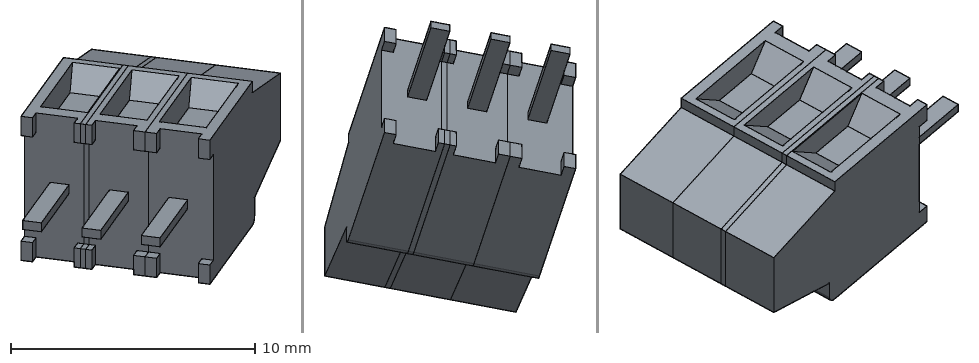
import cadquery as cq


TOTAL_LENGTH = 13.4
TOTAL_WIDTH = 8.08
TOTAL_HEIGHT = 6.5

PIN_COUNT = 3
PIN_EDGE_DISTANCE = 1.5
PITCH = (TOTAL_WIDTH - 2 * PIN_EDGE_DISTANCE) / (PIN_COUNT - 1)
MODULE_WIDTH = (TOTAL_WIDTH - PITCH) / 2
SPACER_START = PITCH
SPACER_END = MODULE_WIDTH
LAST_MODULE_START = TOTAL_WIDTH - MODULE_WIDTH

PIN_LENGTH = 3.9
FOOT_LENGTH = 0.5
FOOT_HEIGHT = 0.87
FOOT_WIDTH = 0.5
REAR_FACE_Y = PIN_LENGTH
FOOT_TIP_Y = REAR_FACE_Y - FOOT_LENGTH
TOP_STEP_Y = 9.42
TOP_STEP_Z = 5.99
BOTTOM_STEP_Y = 9.75
BOTTOM_STEP_Z = 1.11
NOSE_BOTTOM_Z = 2.08
NOSE_TOP_Z = 5.12
BOTTOM_CORNER_RADIUS = 0.3

FUNNEL_WIDTH = 2.01
FUNNEL_START_Y = 4.54
FUNNEL_END_Y = 9.07
FUNNEL_DEPTH = 0.8
FUNNEL_FLOOR_WIDTH = 1.5
FUNNEL_FLOOR_START_Y = 5.78
FUNNEL_FLOOR_END_Y = 7.87

PIN_WIDTH = 0.8
PIN_THICKNESS = 0.4


def box(x_start, x_end, y_start, y_end, z_start, z_end):
    """Box between two opposite corners."""
    size = (x_end - x_start, y_end - y_start, z_end - z_start)
    return cq.Workplane("XY").box(*size, centered=False).translate((x_start, y_start, z_start))


def profile_slab(x_start, x_end):
    """Slice of the block's side profile, including the top and bottom rails that form the feet."""
    outline = [
        (FOOT_TIP_Y, 0),
        (BOTTOM_STEP_Y, 0),
        (BOTTOM_STEP_Y, BOTTOM_STEP_Z),
        (TOTAL_LENGTH, NOSE_BOTTOM_Z),
        (TOTAL_LENGTH, NOSE_TOP_Z),
        (TOP_STEP_Y, TOP_STEP_Z),
        (TOP_STEP_Y, TOTAL_HEIGHT),
        (FOOT_TIP_Y, TOTAL_HEIGHT),
        (FOOT_TIP_Y, TOTAL_HEIGHT - FOOT_HEIGHT),
        (REAR_FACE_Y, TOTAL_HEIGHT - FOOT_HEIGHT),
        (REAR_FACE_Y, FOOT_HEIGHT),
        (FOOT_TIP_Y, FOOT_HEIGHT),
    ]
    slab = cq.Workplane("YZ").workplane(offset=x_start).polyline(outline).close().extrude(x_end - x_start)
    lower_corner = cq.selectors.NearestToPointSelector(((x_start + x_end) / 2, BOTTOM_STEP_Y, 0))
    return slab.edges(lower_corner).fillet(BOTTOM_CORNER_RADIUS)


def funnel_cutter(center_x):
    """Pocket tapering from its mouth in the top face down to a smaller flat floor."""
    mouth_length = FUNNEL_END_Y - FUNNEL_START_Y
    mouth_center_y = (FUNNEL_START_Y + FUNNEL_END_Y) / 2
    floor_length = FUNNEL_FLOOR_END_Y - FUNNEL_FLOOR_START_Y
    floor_center_y = (FUNNEL_FLOOR_START_Y + FUNNEL_FLOOR_END_Y) / 2
    return (
        cq.Workplane("XY", origin=(center_x, mouth_center_y, TOTAL_HEIGHT))
        .rect(FUNNEL_WIDTH, mouth_length)
        .workplane(offset=-FUNNEL_DEPTH)
        .center(0, floor_center_y - mouth_center_y)
        .rect(FUNNEL_FLOOR_WIDTH, floor_length)
        .loft()
    )


def make_housing(x_start, x_end, feet_gap_start, feet_gap_end, pin_x):
    """Housing module with corner feet and a funnel; the rails are cut away between the feet."""
    feet_gap = box(feet_gap_start, feet_gap_end, FOOT_TIP_Y, REAR_FACE_Y, 0, TOTAL_HEIGHT)
    return profile_slab(x_start, x_end).cut(feet_gap).cut(funnel_cutter(pin_x))


def make_spacer():
    """Thin full-profile plate between the first and second modules."""
    return profile_slab(SPACER_START, SPACER_END)


def make_pin(center_x):
    """Flat solder pin standing on the rear face, centred in height."""
    return box(
        center_x - PIN_WIDTH / 2,
        center_x + PIN_WIDTH / 2,
        0,
        REAR_FACE_Y,
        (TOTAL_HEIGHT - PIN_THICKNESS) / 2,
        (TOTAL_HEIGHT + PIN_THICKNESS) / 2,
    )


pin_centers = [PIN_EDGE_DISTANCE + index * PITCH for index in range(PIN_COUNT)]

module_starts = [0, PITCH, LAST_MODULE_START]
body_spans = [
    (0, SPACER_START),
    (SPACER_END, LAST_MODULE_START),
    (LAST_MODULE_START, TOTAL_WIDTH),
]

housings = []
for module_start, (body_start, body_end), pin_x in zip(module_starts, body_spans, pin_centers):
    gap_start = module_start + FOOT_WIDTH
    gap_end = module_start + MODULE_WIDTH - FOOT_WIDTH
    housings.append(make_housing(body_start, body_end, gap_start, gap_end, pin_x))

spacer = make_spacer()
pins = [make_pin(pin_x) for pin_x in pin_centers]

result = cq.Compound.makeCompound(
    [
        *[housing.val() for housing in housings],
        spacer.val(),
        *[pin.val() for pin in pins],
    ]
)